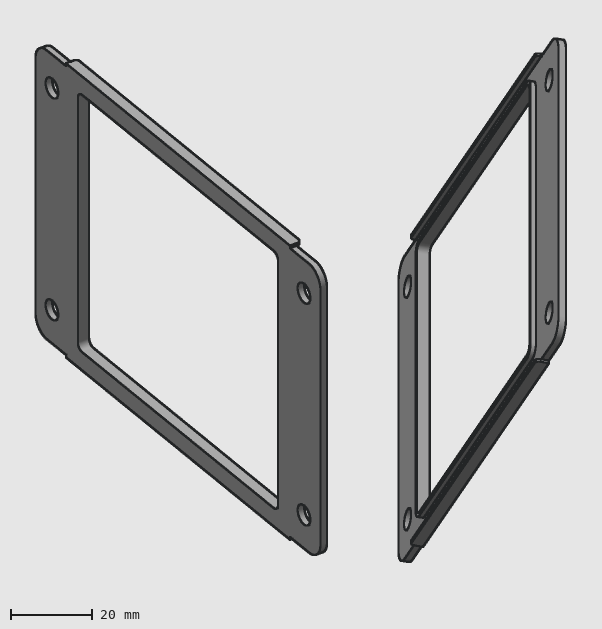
import cadquery as cq

plate_length = 124.5
plate_thickness = 2.0
plate_corner_radius = 5.0

overall_height = 86.2
overall_depth = 3.4
flange_length = 97.9
flange_thickness = 0.7
flange_corner_radius = 1.0
plate_height = overall_height - 2 * flange_thickness

window_length = 87.4
window_height = 75.3
window_corner_radius = 1.9
rim_thickness = 1.0

hole_diameter = 5.5
hole_spacing_x = 110.0
hole_spacing_z = 65.0


def rounded_block(length, height, depth, radius):
    """Block from Y = 0 to Y = depth with its four outline corners rounded."""
    block = cq.Workplane("XY").box(length, depth, height).translate((0, depth / 2, 0))
    return block.edges("|Y").fillet(radius)


def flange(side):
    """Flange on the upper (side = 1) or lower (side = -1) plate edge."""
    centre_z = side * (plate_height + flange_thickness) / 2
    strip = cq.Workplane("XY").box(flange_length, overall_depth, flange_thickness)
    strip = strip.edges("|Z and >Y").fillet(flange_corner_radius)
    return strip.translate((0, overall_depth / 2, centre_z))


plate = rounded_block(plate_length, plate_height, plate_thickness, plate_corner_radius)

rim = rounded_block(
    window_length + 2 * rim_thickness,
    window_height + 2 * rim_thickness,
    overall_depth,
    window_corner_radius + rim_thickness,
)
window = rounded_block(window_length, window_height, overall_depth, window_corner_radius)

holes = (
    cq.Workplane("XZ")
    .rarray(hole_spacing_x, hole_spacing_z, 2, 2)
    .circle(hole_diameter / 2)
    .extrude(-plate_thickness)
)

result = plate.union(rim)
for side in (1, -1):
    result = result.union(flange(side))
result = result.cut(window).cut(holes)